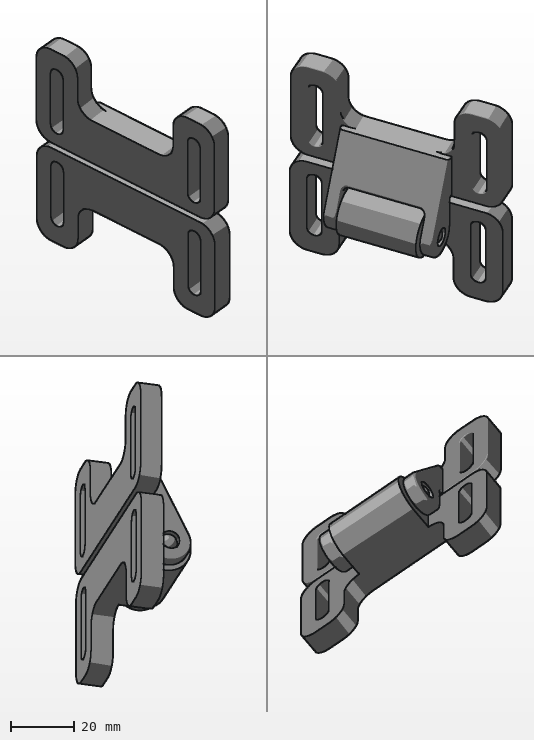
import cadquery as cq
import math


TOTAL_HEIGHT = 75.4
PLATE_WIDTH = 73.75
PLATE_GAP = 2.25
PLATE_HEIGHT = (TOTAL_HEIGHT - PLATE_GAP) / 2
LEG_SPACING = 39.5
WEB_HEIGHT = 16.6
CORNER_RADIUS = 6.0
UPPER_THICKNESS = 7.0
UPPER_BACK_ROUND = 0.3
LOWER_FRONT_Y = 0.2
LOWER_BACK_Y = 7.55

SLOT_WIDTH = 5.2
SLOT_LENGTH = 25.0
SLOT_SPACING = 56.7
SLOT_CENTRE_HEIGHT = 17.1

TOTAL_DEPTH = 23.3
DRUM_RADIUS = 8.3
DRUM_WIDTH = 27.5
PIN_DIAMETER = 6.0
PIN_RADIUS = PIN_DIAMETER / 2
PLATE_EDGE_Z = PLATE_GAP / 2
AXIS_Y = TOTAL_DEPTH - DRUM_RADIUS
AXIS_Z = -PLATE_EDGE_Z - DRUM_RADIUS

BRACKET_WIDTH = 38.0
ARM_SPACING = 28.6
ARM_RADIUS = 7.0
ARM_FRONT_Y = AXIS_Y - ARM_RADIUS
BRACKET_FRONT_Y = UPPER_THICKNESS - UPPER_BACK_ROUND
BRACKET_TOP_Y = 9.1
BRACKET_TOP_Z = PLATE_EDGE_Z + WEB_HEIGHT
CLEARANCE_CORNER_RADIUS = 2.0
ARM_EDGE_ROUND = 1.0
ARM_ROOT_RADIUS = 0.9
SILL_HEIGHT = 2.25
SILL_TOP_Z = PLATE_EDGE_Z + SILL_HEIGHT

TOLERANCE = 0.04


def plate(front_y, back_y):
    """Slotted U-shaped plate, hinge edge at the bottom and both legs pointing up."""
    thickness = back_y - front_y
    back_plane = cq.Workplane("XZ", origin=(0, back_y, PLATE_EDGE_Z))
    blank = back_plane.rect(PLATE_WIDTH, PLATE_HEIGHT).extrude(thickness)
    blank = blank.translate((0, 0, PLATE_HEIGHT / 2))
    leg_gap = (
        back_plane.center(0, WEB_HEIGHT + PLATE_HEIGHT / 2)
        .rect(LEG_SPACING, PLATE_HEIGHT)
        .extrude(thickness)
    )
    slots = (
        back_plane.center(0, SLOT_CENTRE_HEIGHT)
        .pushPoints([(-SLOT_SPACING / 2, 0), (SLOT_SPACING / 2, 0)])
        .slot2D(SLOT_LENGTH, SLOT_WIDTH, 90)
        .extrude(thickness)
    )
    return blank.cut(leg_gap).edges("|Y").fillet(CORNER_RADIUS).cut(slots)


def pin(side):
    """Round-ended pin, flush with the arm's outer face; side is +1 or -1 along X."""
    tip_centre_x = side * (BRACKET_WIDTH / 2 - PIN_RADIUS)
    shank = cq.Workplane("YZ", origin=(0, AXIS_Y, AXIS_Z)).circle(PIN_RADIUS).extrude(tip_centre_x)
    tip = cq.Workplane("YZ", origin=(tip_centre_x, AXIS_Y, AXIS_Z)).sphere(PIN_RADIUS)
    return shank.union(tip)


def bracket_block():
    """Solid bracket, its sloped back face running tangent into the round arm end."""
    rise = BRACKET_TOP_Z - AXIS_Z
    inset = BRACKET_TOP_Y - AXIS_Y
    reach = math.hypot(rise, inset)
    tangent_angle = math.atan2(rise, inset) - math.acos(ARM_RADIUS / reach)
    tangent_y = AXIS_Y + ARM_RADIUS * math.cos(tangent_angle)
    tangent_z = AXIS_Z + ARM_RADIUS * math.sin(tangent_angle)
    return (
        cq.Workplane("YZ", origin=(-BRACKET_WIDTH / 2, 0, 0))
        .moveTo(BRACKET_FRONT_Y, BRACKET_TOP_Z)
        .lineTo(BRACKET_TOP_Y, BRACKET_TOP_Z)
        .lineTo(tangent_y, tangent_z)
        .threePointArc((AXIS_Y, AXIS_Z - ARM_RADIUS), (ARM_FRONT_Y, AXIS_Z))
        .lineTo(ARM_FRONT_Y, SILL_TOP_Z)
        .lineTo(BRACKET_FRONT_Y, SILL_TOP_Z)
        .close()
        .extrude(BRACKET_WIDTH)
    )


def drum_clearance():
    """Space between the arms, with rounded corners under its ceiling."""
    depth = PLATE_EDGE_Z - AXIS_Z + 2 * ARM_RADIUS
    space = (
        cq.Workplane("XY", origin=(0, AXIS_Y, PLATE_EDGE_Z))
        .rect(ARM_SPACING, 4 * ARM_RADIUS)
        .extrude(-depth)
    )
    return space.edges("|Y and >Z").fillet(CLEARANCE_CORNER_RADIUS)


def is_rim(edge):
    """True for edges that run around the arm side faces and the arch between the arms."""
    start, end = edge.startPoint(), edge.endPoint()
    span = end - start
    middle = edge.Center()
    if middle.y < ARM_FRONT_Y - TOLERANCE or middle.z > BRACKET_TOP_Z - TOLERANCE:
        return False
    along_x = max(abs(span.y), abs(span.z)) < TOLERANCE
    along_y = max(abs(span.x), abs(span.z)) < TOLERANCE
    if along_x:
        return abs(middle.z - PLATE_EDGE_Z) < TOLERANCE
    return not along_y


def bracket_sill():
    """Strip that carries the bracket down to the plate's hinge-side edge."""
    back_y = ARM_FRONT_Y + ARM_EDGE_ROUND
    sill = (
        cq.Workplane("XY", origin=(0, (BRACKET_FRONT_Y + back_y) / 2, PLATE_EDGE_Z))
        .rect(BRACKET_WIDTH, back_y - BRACKET_FRONT_Y)
        .extrude(SILL_HEIGHT)
    )
    return sill.edges("|Y and <Z").fillet(ARM_EDGE_ROUND)


def bracket():
    """Forked bracket: rounded arms, the sill above them and small coves at the arm roots."""
    fork = bracket_block().cut(drum_clearance())
    fork = fork.newObject([e for e in fork.edges().vals() if is_rim(e)]).fillet(ARM_EDGE_ROUND)
    forked = fork.union(bracket_sill())
    right_half = forked.intersect(cq.Workplane("YZ").rect(TOTAL_HEIGHT, TOTAL_HEIGHT).extrude(BRACKET_WIDTH))
    root_zone = cq.selectors.BoxSelector(
        (0, ARM_FRONT_Y - TOLERANCE, PLATE_EDGE_Z - TOLERANCE),
        (BRACKET_WIDTH, ARM_FRONT_Y + TOLERANCE, PLATE_EDGE_Z + TOLERANCE),
    )
    right_half = right_half.edges(root_zone).fillet(ARM_ROOT_RADIUS)
    return right_half.union(right_half.mirror("YZ"))


def upper_leaf():
    """Upper plate with its bracket and the two pin holes."""
    leaf = plate(0, UPPER_THICKNESS)
    leaf = leaf.faces(">Y").edges().fillet(UPPER_BACK_ROUND)
    leaf = leaf.union(bracket())
    pin_hole = (
        cq.Workplane("YZ", origin=(-BRACKET_WIDTH / 2, AXIS_Y, AXIS_Z))
        .circle(PIN_RADIUS)
        .extrude(BRACKET_WIDTH)
    )
    return leaf.cut(pin_hole)


def lower_leaf():
    """Lower plate with the hinge drum and a round-ended pin at each end of the drum."""
    leaf = plate(LOWER_FRONT_Y, LOWER_BACK_Y).rotate((0, 0, 0), (0, 1, 0), 180)
    drum_block = (
        cq.Workplane("YZ", origin=(-DRUM_WIDTH / 2, 0, 0))
        .moveTo(LOWER_BACK_Y, AXIS_Z + DRUM_RADIUS)
        .lineTo(AXIS_Y, AXIS_Z + DRUM_RADIUS)
        .threePointArc((AXIS_Y + DRUM_RADIUS, AXIS_Z), (AXIS_Y, AXIS_Z - DRUM_RADIUS))
        .lineTo(LOWER_BACK_Y, AXIS_Z - DRUM_RADIUS)
        .close()
        .extrude(DRUM_WIDTH)
    )
    leaf = leaf.union(drum_block)
    for side in (-1, 1):
        leaf = leaf.union(pin(side))
    return leaf


result = cq.Compound.makeCompound([upper_leaf().val(), lower_leaf().val()])